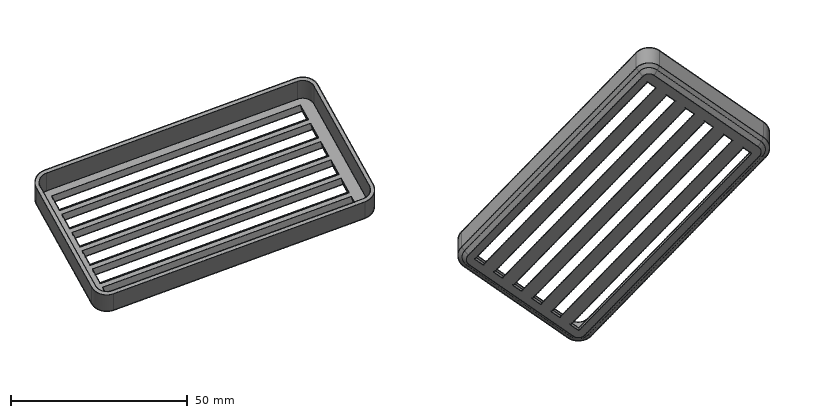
import cadquery as cq
import math

WIDTH = 47.4
LENGTH = 87.4
HEIGHT = 10.0
CORNER_RADIUS = 4.7
WALL = 1.2
FLOOR = 1.4

FOOT_HEIGHT = 2.0
FOOT_INSET = 2 * WALL

SLOT_COUNT = 6
SLOT_PITCH = 7.0
BAR_TOP_WIDTH = 1.4
FLANK_RUN = 1.3
SLOT_TOP_WIDTH = SLOT_PITCH - BAR_TOP_WIDTH
SLOT_BOTTOM_WIDTH = SLOT_TOP_WIDTH - 2 * FLANK_RUN
SLOT_LENGTH = 77.2
SLOT_CENTER_Y = 0.25


def rounded_outline(inset, z):
    """Tray outline moved inwards by inset, placed at height z."""
    sketch = (
        cq.Sketch()
        .rect(WIDTH - 2 * inset, LENGTH - 2 * inset)
        .vertices()
        .fillet(CORNER_RADIUS - inset)
    )
    return cq.Workplane("XY", origin=(0, 0, z)).placeSketch(sketch)


def make_body():
    """Rounded block whose foot tapers inwards, down to the underside."""
    upper = rounded_outline(0, FOOT_HEIGHT).extrude(HEIGHT - FOOT_HEIGHT)
    taper_angle = math.degrees(math.atan2(FOOT_INSET, FOOT_HEIGHT))
    foot = rounded_outline(0, FOOT_HEIGHT).extrude(-FOOT_HEIGHT, taper=taper_angle)
    return upper.union(foot)


def make_cavity():
    """Open space inside the walls, above the floor."""
    return rounded_outline(WALL, FLOOR).extrude(HEIGHT - FLOOR)


def make_slot(center_x, right_flank_run):
    """Slot cutter, narrower at the bottom; its +X side leans outwards by right_flank_run."""
    bottom_left = center_x - SLOT_BOTTOM_WIDTH / 2
    bottom_right = center_x + SLOT_BOTTOM_WIDTH / 2
    profile = [
        (bottom_left, 0),
        (bottom_right, 0),
        (bottom_right + right_flank_run, FLOOR),
        (bottom_left - FLANK_RUN, FLOOR),
    ]
    return (
        cq.Workplane("XZ", origin=(0, SLOT_CENTER_Y, 0))
        .polyline(profile)
        .close()
        .extrude(SLOT_LENGTH / 2, both=True)
    )


def cut_slots(tray):
    """Cut the row of slots; the +X side of the last one is upright."""
    first_x = -(SLOT_COUNT - 1) * SLOT_PITCH / 2
    for index in range(SLOT_COUNT):
        is_last = index == SLOT_COUNT - 1
        right_flank_run = 0 if is_last else FLANK_RUN
        tray = tray.cut(make_slot(first_x + index * SLOT_PITCH, right_flank_run))
    return tray


result = cut_slots(make_body().cut(make_cavity()))